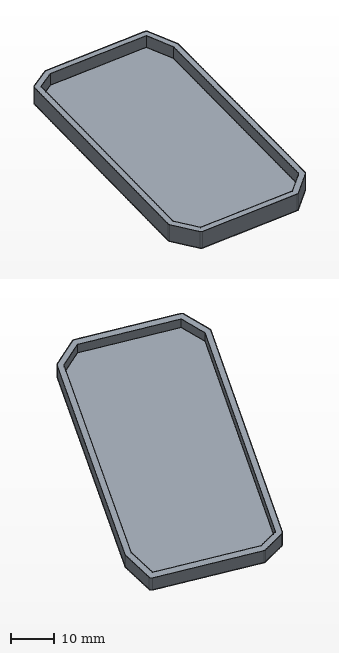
import cadquery as cq

length = 69.45
width = 37.1
height = 5.0

wall = 1.5
floor = wall

corner_radius = 0.7

back_left_cut = (8.0, 3.75)
back_right_cut = (5.55, 5.55)
front_right_cut = (6.3, 5.0)
front_left_cut = (3.55, 5.4)

front_skew = 0.2

left = -length / 2
right = length / 2
front = -width / 2
back = width / 2
front_left = front + front_skew


def outline():
    """Sharp-cornered outer octagon, counter-clockwise from the front-left corner."""
    return cq.Workplane("XY").polyline([
        (left + front_left_cut[0], front_left),
        (right - front_right_cut[0], front),
        (right, front + front_right_cut[1]),
        (right, back - back_right_cut[1]),
        (right - back_right_cut[0], back),
        (left + back_left_cut[0], back),
        (left, back - back_left_cut[1]),
        (left, front_left + front_left_cut[1]),
    ]).close()


block = outline().extrude(height).edges("|Z").fillet(corner_radius)

pocket = outline().offset2D(-wall).extrude(height - floor).translate((0, 0, floor))

result = block.cut(pocket)